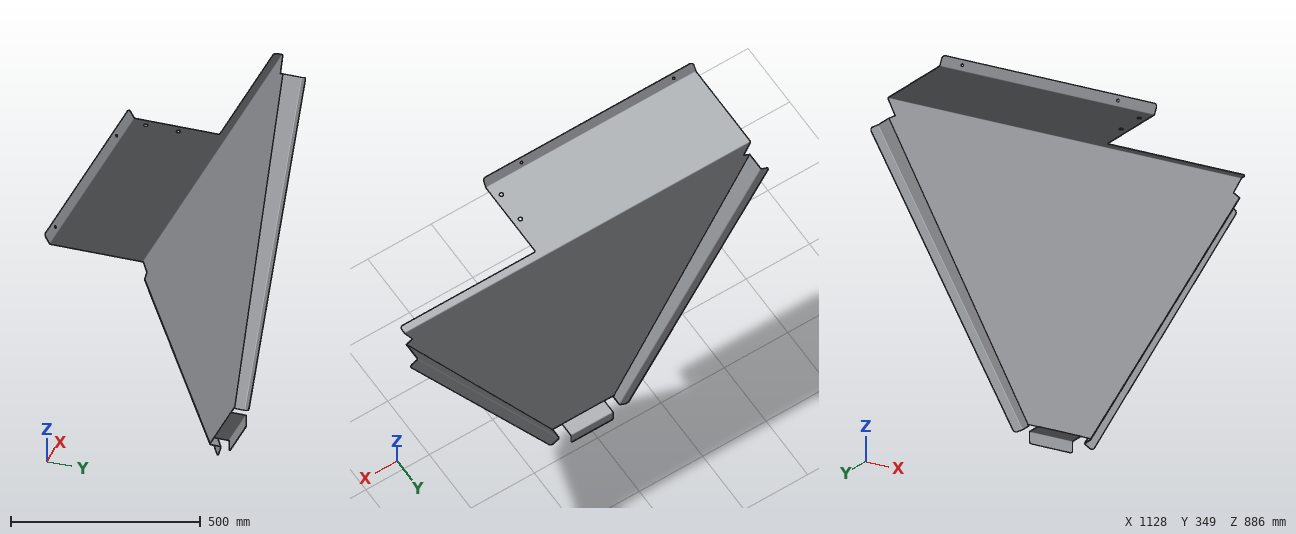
import cadquery as cq
import math

sheet = 1.5
inner_bend = 2.0
overlap = 11.0

half_width = 564.0
height = 886.0
depth = 349.0

shelf_top = 860.0
shelf_depth = 263.0
lip_angle = math.radians(60)
lip_rise = height - shelf_top
lip_run = lip_rise / math.tan(lip_angle)
shelf_half_width = 546.0
shelf_right = 117.0
strip_depth = 25.0
shelf_corner = 10.0
inside_corner = 5.0

shelf_hole = 11.0
shelf_hole_x = 95.0
shelf_hole_depths = (132.0, 223.0)
lip_hole = 7.0
lip_hole_xs = (-481.0, 0.0)

plate_bottom = 33.0
plate_lean = 26.0

side_angle = math.radians(30)
side_length = 894.0
side_top = 802.0
rim_back = 56.0
rim_width = 29.0
rim_corner = 10.0
notch_depth = 23.0

tab_width = 133.0
tab_back = depth - shelf_depth - lip_run - sheet * math.sin(lip_angle)
tab_corner = 7.0

along = (math.sin(side_angle), math.cos(side_angle))
outward = (math.cos(side_angle), -math.sin(side_angle))
corner_loss = rim_corner * (along[0] + outward[0] - 1)
side_top_x = half_width - rim_width * outward[0] + corner_loss


def side_point(distance, offset):
    """XZ point measured down the right flange and outward from its outer wall face."""
    return (
        side_top_x - distance * along[0] + offset * outward[0],
        side_top - distance * along[1] + offset * outward[1],
    )


def offset_path(path):
    """Points of the path moved one sheet thickness to its left, mitred at the bends."""
    angles = [math.atan2(b[1] - a[1], b[0] - a[0]) for a, b in zip(path, path[1:])]
    before = angles[:1] + angles
    after = angles + angles[-1:]
    moved = []
    for (u, v), a, b in zip(path, before, after):
        reach = sheet / math.cos((b - a) / 2)
        middle = (a + b) / 2
        moved.append((u - reach * math.sin(middle), v + reach * math.cos(middle)))
    return moved


def folded_sheet(plane, path, length):
    """Sheet following the path, with rounded bends, extruded along the plane normal."""
    moved = offset_path(path)
    body = cq.Workplane(plane).polyline(path + moved[::-1]).close().extrude(length)
    for i in range(1, len(path) - 1):
        first = math.atan2(path[i][1] - path[i - 1][1], path[i][0] - path[i - 1][0])
        second = math.atan2(path[i + 1][1] - path[i][1], path[i + 1][0] - path[i][0])
        turns_left = math.sin(second - first) > 0
        inner_point, outer_point = (moved[i], path[i]) if turns_left else (path[i], moved[i])
        for point, radius in ((inner_point, inner_bend), (outer_point, inner_bend + sheet)):
            middle = plane.toWorldCoords((point[0], point[1], length / 2))
            edge = cq.selectors.NearestToPointSelector(middle.toTuple())
            body = body.edges(edge).fillet(radius)
    return body


def front_prism(points):
    return cq.Workplane("XZ", origin=(0, -depth, 0)).polyline(points).close().extrude(-2 * depth)


def mirrored(points):
    return points + [(-x, z) for x, z in reversed(points)]


def plate_and_shelf():
    lip_end = (-shelf_depth - lip_run, height)
    path = [(plate_lean, plate_bottom), (0, shelf_top), (-shelf_depth, shelf_top), lip_end]
    plane = cq.Plane(origin=(-shelf_half_width, 0, 0), xDir=(0, 1, 0), normal=(1, 0, 0))
    body = folded_sheet(plane, path, 2 * shelf_half_width)

    front = -depth - overlap
    shelf_cut = (
        cq.Workplane("XY", origin=(0, 0, shelf_top - overlap))
        .moveTo(shelf_right, front)
        .lineTo(shelf_right, -strip_depth - inside_corner)
        .radiusArc((shelf_right + inside_corner, -strip_depth), inside_corner)
        .lineTo(shelf_half_width - shelf_corner, -strip_depth)
        .radiusArc((shelf_half_width, -strip_depth + shelf_corner), -shelf_corner)
        .lineTo(shelf_half_width + overlap, -strip_depth + shelf_corner)
        .lineTo(shelf_half_width + overlap, front)
        .close()
        .extrude(depth)
    )
    body = body.cut(shelf_cut)

    for x in (-shelf_half_width, shelf_right):
        corner = cq.selectors.NearestToPointSelector((x, lip_end[0] - sheet / 2, height))
        body = body.edges(corner).fillet(shelf_corner)

    plate_outline = mirrored([
        (shelf_half_width, height + overlap),
        (shelf_half_width, shelf_top - sheet),
        side_point(0, -notch_depth),
        side_point(0, 0),
        side_point(side_length, 0),
        side_point(side_length, -sheet),
        (side_point(side_length, -sheet)[0], 0),
    ])
    return body.intersect(front_prism(plate_outline))


def side_flange():
    x, z = side_point(side_length, 0)
    plane = cq.Plane(
        origin=(x, 0, z), xDir=(outward[0], 0, outward[1]), normal=(along[0], 0, along[1])
    )
    path = [(0, -overlap), (0, rim_back - sheet), (rim_width, rim_back - sheet)]
    flange = folded_sheet(plane, path, side_length)
    for distance in (0, side_length):
        px, pz = side_point(distance, rim_width)
        corner = cq.selectors.NearestToPointSelector((px, rim_back - sheet / 2, pz))
        flange = flange.edges(corner).fillet(rim_corner)
    slope = plate_lean / (shelf_top - plate_bottom)
    low_y = slope * shelf_top
    behind_plate = (
        cq.Workplane("YZ", origin=(-half_width, 0, 0))
        .polyline([(low_y, 0), (0, shelf_top), (depth, shelf_top), (depth, 0)])
        .close()
        .extrude(2 * half_width)
    )
    return flange.intersect(behind_plate)


def bottom_tab():
    start = plate_lean - sheet / 2
    front_face = tab_back - sheet
    path = [(start, plate_bottom), (front_face, plate_bottom), (front_face, 0)]
    plane = cq.Plane(origin=(-tab_width / 2, 0, 0), xDir=(0, 1, 0), normal=(1, 0, 0))
    tab = folded_sheet(plane, path, tab_width)
    return tab.edges("|Y and <Z").fillet(tab_corner)


def drill_points(workplane, points, diameter):
    return workplane.pushPoints(points).circle(diameter / 2)


def shelf_holes():
    points = [(shelf_hole_x, -y) for y in shelf_hole_depths]
    plane = cq.Workplane("XY", origin=(0, 0, shelf_top))
    return drill_points(plane, points, shelf_hole).extrude(overlap, both=True)


def lip_holes():
    middle = (0, -shelf_depth - lip_run / 2, shelf_top + lip_rise / 2)
    normal = (0, -math.sin(lip_angle), -math.cos(lip_angle))
    plane = cq.Workplane(cq.Plane(origin=middle, xDir=(1, 0, 0), normal=normal))
    return drill_points(plane, [(x, 0) for x in lip_hole_xs], lip_hole).extrude(overlap, both=True)


right_flange = side_flange()
result = (
    plate_and_shelf()
    .union(right_flange)
    .union(right_flange.mirror("YZ"))
    .union(bottom_tab())
    .cut(shelf_holes())
    .cut(lip_holes())
)